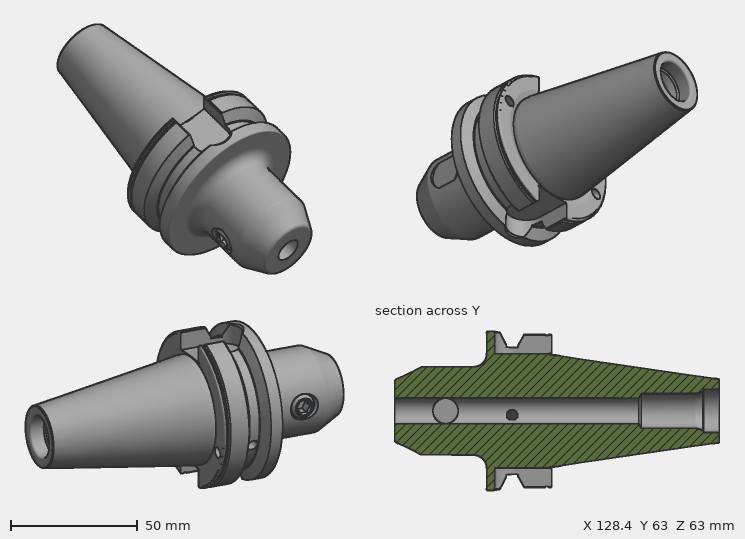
import cadquery as cq
import math

CUT_CLEARANCE = 1.3

LENGTH = 128.4
FLANGE_X = 66.3
FLANGE_BACK_X = 92.0

TAPER_LENGTH = 65.4
GAUGE_R = 22.2
TAPER_RATIO = 7 / 24
TAPER_END_R = GAUGE_R - TAPER_LENGTH * TAPER_RATIO / 2
TAPER_END_CHAMFER = 0.4

FLANGE_R = 63.0 / 2
DISH_R = 24.9
DISH_DEPTH = 0.8
FLANGE_FRONT_FILLET = 0.9
FLANGE_BACK_FILLET = 0.6
V_BOTTOM_R = 26.3
V_CENTRE_X = 81.9
V_MOUTH_WIDTH = 9.8
V_BOTTOM_WIDTH = 4.5
V_HALF_ANGLE = 30.0
V_FLANK_END_R = FLANGE_R - (V_MOUTH_WIDTH - V_BOTTOM_WIDTH) / 2 / math.tan(math.radians(V_HALF_ANGLE))

RING_GROOVE_X = 68.2
RING_GROOVE_MOUTH = 1.8
RING_GROOVE_BOTTOM = 0.6
RING_GROOVE_DEPTH = 0.6

NOSE_R = 35.0 / 2
NOSE_ROOT_FILLET = 5.0
NOSE_CONE_X = 117.6
NOSE_CONE_ANGLE = 26.0
NOSE_END_R = NOSE_R - (LENGTH - NOSE_CONE_X) * math.tan(math.radians(NOSE_CONE_ANGLE))
NOSE_SHOULDER_FILLET = 1.7
NOSE_END_FILLET = 1.5

BORE_R = 5.0
PILOT_R = 8.5
PILOT_DEPTH = 6.2
PILOT_MOUTH_FILLET = 1.0
LEAD_IN_X = 6.7
LEAD_IN_R = 7.6
THREAD_X = 9.4
THREAD_R = 6.8
THREAD_END_X = 30.8
DRILL_HALF_ANGLE = 59.0

SLOT_WIDTH = 16.0
SLOT_FLOOR = 22.6
SLOT_END_X = 88.7
SLOT_SIDE_CHAMFER_START = 29.9
SLOT_END_CHAMFER_START = 30.8

COOLANT_CROSS_R = 2.2
COOLANT_SLANTED_R = 2.0
COOLANT_ANGLE = 20.0
COOLANT_FACE_R = 26.8
COOLANT_TILT = 32.0

SCREW_X = 108.2
SCREW_R = 5.0
SCREW_TOP = 17.3
SCREW_CHAMFER = 1.3
HEX_FLATS = 5.0
HEX_DEPTH = 5.1
HEX_TURN = 30.0
HEX_MOUTH_R = 3.3
SINK_R = 6.0
SINK_HALF_ANGLE = 32.0

RECESS_R = 7.3
RECESS_FLOOR = 16.4


def revolved(points):
    """Solid of revolution about X from (x, radius) points."""
    return cq.Workplane("XY").polyline(points).close().revolve(360, (0, 0, 0), (1, 0, 0))


def rod(radius, start, end):
    """Cylinder between two points."""
    axis = cq.Vector(*end) - cq.Vector(*start)
    return cq.Workplane(cq.Solid.makeCylinder(radius, axis.Length, cq.Vector(*start), axis))


def fillet_ring(body, x, radius_at_edge, fillet):
    """Round the circular edge lying at the given x and radius."""
    tolerance = 0.01
    ring = [
        edge
        for edge in body.edges("%CIRCLE").vals()
        if abs(edge.Center().x - x) < tolerance and abs(edge.radius() - radius_at_edge) < tolerance
    ]
    return body.newObject(ring).fillet(fillet)


def make_blank():
    """Turned outer shape of the holder."""
    blank = revolved([
        (0, 0),
        (0, TAPER_END_R - TAPER_END_CHAMFER),
        (TAPER_END_CHAMFER, TAPER_END_R),
        (TAPER_LENGTH, GAUGE_R),
        (FLANGE_X + DISH_DEPTH, GAUGE_R),
        (FLANGE_X, DISH_R),
        (FLANGE_X, FLANGE_R),
        (RING_GROOVE_X - RING_GROOVE_MOUTH / 2, FLANGE_R),
        (RING_GROOVE_X - RING_GROOVE_BOTTOM / 2, FLANGE_R - RING_GROOVE_DEPTH),
        (RING_GROOVE_X + RING_GROOVE_BOTTOM / 2, FLANGE_R - RING_GROOVE_DEPTH),
        (RING_GROOVE_X + RING_GROOVE_MOUTH / 2, FLANGE_R),
        (V_CENTRE_X - V_MOUTH_WIDTH / 2, FLANGE_R),
        (V_CENTRE_X - V_BOTTOM_WIDTH / 2, V_FLANK_END_R),
        (V_CENTRE_X - V_BOTTOM_WIDTH / 2, V_BOTTOM_R),
        (V_CENTRE_X + V_BOTTOM_WIDTH / 2, V_BOTTOM_R),
        (V_CENTRE_X + V_BOTTOM_WIDTH / 2, V_FLANK_END_R),
        (V_CENTRE_X + V_MOUTH_WIDTH / 2, FLANGE_R),
        (FLANGE_BACK_X, FLANGE_R),
        (FLANGE_BACK_X, NOSE_R),
        (NOSE_CONE_X, NOSE_R),
        (LENGTH, NOSE_END_R),
        (LENGTH, 0),
    ])
    blank = fillet_ring(blank, FLANGE_X, FLANGE_R, FLANGE_FRONT_FILLET)
    blank = fillet_ring(blank, FLANGE_BACK_X, FLANGE_R, FLANGE_BACK_FILLET)
    blank = fillet_ring(blank, FLANGE_BACK_X, NOSE_R, NOSE_ROOT_FILLET)
    blank = fillet_ring(blank, NOSE_CONE_X, NOSE_R, NOSE_SHOULDER_FILLET)
    return fillet_ring(blank, LENGTH, NOSE_END_R, NOSE_END_FILLET)


def make_bore():
    """Pilot bore, drilled thread bore and through bore along the axis."""
    drill_tip_length = (THREAD_R - BORE_R) / math.tan(math.radians(DRILL_HALF_ANGLE))
    return revolved([
        (0, 0),
        (0, PILOT_R),
        (PILOT_DEPTH, PILOT_R),
        (LEAD_IN_X, LEAD_IN_R),
        (THREAD_X, THREAD_R),
        (THREAD_END_X, THREAD_R),
        (THREAD_END_X + drill_tip_length, BORE_R),
        (LENGTH, BORE_R),
        (LENGTH, 0),
    ])


def make_slots():
    """Two opposite round-ended slots with 45 degree chamfers along the sides and around the end."""
    centre_x = SLOT_END_X - SLOT_WIDTH / 2
    straight_length = centre_x - TAPER_LENGTH
    height = FLANGE_R - SLOT_FLOOR
    straight = (
        cq.Workplane("XY", origin=(TAPER_LENGTH, 0, SLOT_FLOOR))
        .box(straight_length, SLOT_WIDTH, height, centered=(False, True, False))
    )
    round_end = rod(SLOT_WIDTH / 2, (centre_x, 0, SLOT_FLOOR), (centre_x, 0, FLANGE_R))
    side_flare = (
        cq.Workplane("XY", origin=(TAPER_LENGTH + straight_length / 2, 0, SLOT_SIDE_CHAMFER_START))
        .rect(straight_length, SLOT_WIDTH)
        .extrude(FLANGE_R - SLOT_SIDE_CHAMFER_START, taper=-45)
    )
    end_flare_height = FLANGE_R - SLOT_END_CHAMFER_START
    end_flare = cq.Workplane(cq.Solid.makeCone(
        SLOT_WIDTH / 2, SLOT_WIDTH / 2 + end_flare_height, end_flare_height,
        cq.Vector(centre_x, 0, SLOT_END_CHAMFER_START), cq.Vector(0, 0, 1)))
    upper = straight.union(round_end).union(side_flare).union(end_flare)
    return upper.union(upper.rotate((0, 0, 0), (1, 0, 0), 180))


def make_coolant_holes():
    """A cross hole between opposite sides of the gripper groove, and the slanted face holes that meet it."""
    slope = math.tan(math.radians(COOLANT_TILT))
    face_start = (FLANGE_X - CUT_CLEARANCE, COOLANT_FACE_R + CUT_CLEARANCE * slope, 0)
    meeting = (V_CENTRE_X, COOLANT_FACE_R - (V_CENTRE_X - FLANGE_X) * slope, 0)
    cross_reach = V_BOTTOM_R + CUT_CLEARANCE
    cross = rod(COOLANT_CROSS_R, (V_CENTRE_X, -cross_reach, 0), (V_CENTRE_X, cross_reach, 0))
    slanted = rod(COOLANT_SLANTED_R, face_start, meeting)
    opposite = slanted.rotate((0, 0, 0), (1, 0, 0), 180)
    return [hole.rotate((0, 0, 0), (1, 0, 0), COOLANT_ANGLE) for hole in (cross, slanted, opposite)]


def make_screw_hole():
    """Hole from the nose surface to the bore, countersunk at its mouth."""
    sink_depth = (SINK_R - SCREW_R) / math.tan(math.radians(SINK_HALF_ANGLE))
    hole = rod(SCREW_R, (SCREW_X, 0, 0), (SCREW_X, -NOSE_R - CUT_CLEARANCE, 0))
    sink = cq.Workplane(cq.Solid.makeCone(
        SINK_R, SCREW_R, sink_depth, cq.Vector(SCREW_X, -NOSE_R, 0), cq.Vector(0, 1, 0)))
    return hole.union(sink)


def make_holder():
    recess = rod(RECESS_R, (SCREW_X, RECESS_FLOOR, 0), (SCREW_X, NOSE_R + CUT_CLEARANCE, 0))
    body = make_blank().cut(make_bore())
    body = fillet_ring(body, 0, PILOT_R, PILOT_MOUTH_FILLET)
    body = body.cut(make_slots()).cut(make_screw_hole()).cut(recess)
    for coolant_hole in make_coolant_holes():
        body = body.cut(coolant_hole)
    return body


def make_screw():
    """Grub screw with a hexagon socket whose corners are countersunk."""
    shank = rod(SCREW_R, (SCREW_X, -SCREW_TOP, 0), (SCREW_X, -BORE_R, 0))
    screw = shank.faces("<Y").chamfer(SCREW_CHAMFER)
    hexagon = (
        cq.Workplane("XZ", origin=(SCREW_X, -SCREW_TOP + HEX_DEPTH, 0))
        .polygon(6, HEX_FLATS, circumscribed=True)
        .extrude(HEX_DEPTH)
        .rotate((SCREW_X, 0, 0), (SCREW_X, 1, 0), HEX_TURN)
    )
    mouth = cq.Workplane(cq.Solid.makeCone(
        HEX_MOUTH_R, 0, HEX_MOUTH_R, cq.Vector(SCREW_X, -SCREW_TOP, 0), cq.Vector(0, 1, 0)))
    return screw.cut(hexagon).cut(mouth)


holder = make_holder()
clamp_screw = make_screw()
result = cq.Compound.makeCompound([holder.solids().val(), clamp_screw.solids().val()])